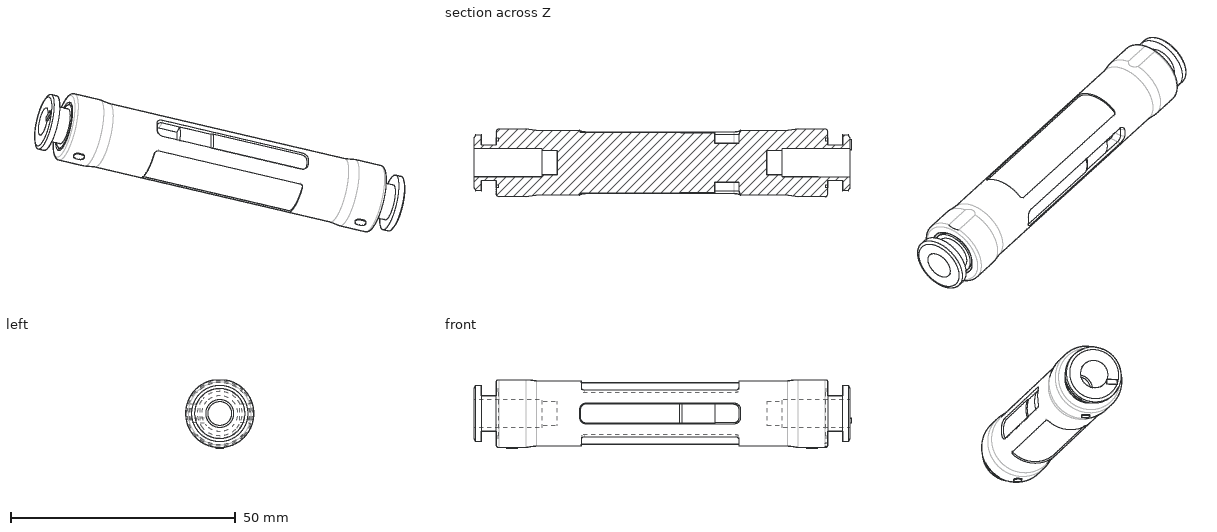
import cadquery as cq

flange_span = 83.8
end_mark_height = 0.3

flange_diameter = 12.5
flange_face_diameter = 11.2
flange_width = 1.7
flange_bevel = 0.3
neck_diameter = 8.0
collar_diameter = 15.2
collar_end = 36.9
collar_length = 6.65
collar_taper_length = 2.35
collar_end_radius = 0.6
end_groove_outer_diameter = 11.0
end_groove_inner_diameter = 9.9
end_groove_depth = 0.5
body_diameter = 14.6

port_diameter = 6.2
port_depth = 15.15
stop_bore_diameter = 5.3
stop_bore_depth = 3.4

collar_flat_height = 7.5
button_height = 7.8
button_offset = 33.4
button_length = 2.5
button_width = 1.8

middle_offset = -0.4
panel_length = 35.1
panel_width = 10.2
panel_diameter = 13.8
panel_corner_radius = 0.7
window_length = 35.9
window_height = 5.0
window_corner_radius = 1.5
window_slope = 0.4
rim_floor = 6.3
core_diameter = 13.6
core_step = 0.2
core_step_start = 3.95
core_step_end = 4.5
pocket_start = 11.8
pocket_floor = 4.4

end_mark_width = 2.35
end_mark_thickness = 1.1
end_mark_y = 4.0
end_mark_z = -1.6

flange_face = flange_span / 2
body_radius = body_diameter / 2
collar_radius = collar_diameter / 2
core_radius = core_diameter / 2


def rod(diameter, start, end):
    """Cylinder along the X axis between two X positions."""
    return cq.Workplane("YZ", origin=(start, 0, 0)).circle(diameter / 2).extrude(end - start)


def make_body():
    """Turned body with both collars, necks and flanges."""
    flange_radius = flange_diameter / 2
    neck_radius = neck_diameter / 2
    groove_outer_radius = end_groove_outer_diameter / 2
    groove_inner_radius = end_groove_inner_diameter / 2
    groove_floor = collar_end - end_groove_depth
    taper_start = collar_end - collar_length
    body_end = taper_start - collar_taper_length
    sleeve = (
        cq.Workplane("XY")
        .moveTo(body_end, 0)
        .lineTo(body_end, body_radius)
        .lineTo(taper_start, collar_radius)
        .lineTo(collar_end - collar_end_radius, collar_radius)
        .radiusArc((collar_end, collar_radius - collar_end_radius), collar_end_radius)
        .lineTo(collar_end, groove_outer_radius)
        .lineTo(groove_floor, groove_outer_radius)
        .lineTo(groove_floor, groove_inner_radius)
        .lineTo(collar_end, groove_inner_radius)
        .lineTo(collar_end, neck_radius)
        .lineTo(flange_face - flange_width, neck_radius)
        .lineTo(flange_face - flange_width, flange_radius)
        .lineTo(flange_face - flange_bevel, flange_radius)
        .lineTo(flange_face, flange_face_diameter / 2)
        .lineTo(flange_face, 0)
        .close()
        .revolve(360, (0, 0, 0), (1, 0, 0))
    )
    middle = rod(body_diameter, -body_end, body_end)
    return middle.union(sleeve).union(sleeve.mirror("YZ"))


def make_port():
    """Stepped blind hole for the +X end."""
    port_bottom = flange_face - port_depth
    port = rod(port_diameter, port_bottom, flange_face)
    return port.union(rod(stop_bore_diameter, port_bottom - stop_bore_depth, port_bottom))


def make_collar_flat():
    """Cutter that planes the top of the +X collar and its taper."""
    flat_length = collar_length + collar_taper_length
    return (
        cq.Workplane("XY", origin=(collar_end, 0, collar_flat_height))
        .rect(2 * flat_length, collar_diameter)
        .extrude(collar_radius)
    )


def make_button():
    """Small oblong button below the +X collar."""
    return (
        cq.Workplane("XY", origin=(button_offset, 0, -button_height))
        .slot2D(button_length, button_width)
        .extrude(button_height - neck_diameter / 2)
    )


def make_panel():
    """Cutter for the shallow label panel on the +Z side, curved around the axis."""
    panel = (
        cq.Workplane("XY", origin=(middle_offset, 0, 0))
        .rect(panel_length, panel_width)
        .extrude(collar_diameter)
        .edges("|Z")
        .fillet(panel_corner_radius)
    )
    return panel.cut(rod(panel_diameter, -collar_end, collar_end))


def window_outline(inset):
    """Rounded window outline, shrunk on every side by the inset."""
    return (
        cq.Sketch()
        .rect(window_length - 2 * inset, window_height - 2 * inset)
        .vertices()
        .fillet(window_corner_radius - inset)
    )


def make_core():
    """Core visible inside the windows: two lengths joined by a short taper."""
    small_radius = core_radius - core_step
    return (
        cq.Workplane("XY")
        .moveTo(-collar_end, 0)
        .lineTo(-collar_end, core_radius)
        .lineTo(core_step_start, core_radius)
        .lineTo(core_step_end, small_radius)
        .lineTo(pocket_start, small_radius)
        .lineTo(pocket_start, 0)
        .close()
        .revolve(360, (0, 0, 0), (1, 0, 0))
    )


def make_window():
    """Cutter for the window on the -Y side: sloped rim, straight walls and deep pocket."""
    rim = (
        cq.Workplane("XZ", origin=(middle_offset, -rim_floor, 0))
        .placeSketch(
            window_outline(window_slope),
            window_outline(0).moved(cq.Location(cq.Vector(0, 0, body_radius - rim_floor))),
        )
        .loft()
    )
    well = (
        cq.Workplane("XZ", origin=(middle_offset, -pocket_floor, 0))
        .placeSketch(window_outline(window_slope))
        .extrude(rim_floor - pocket_floor)
    )
    return rim.union(well).cut(make_core())


def make_end_mark():
    """Small raised bar on the +X flange face."""
    return (
        cq.Workplane("YZ", origin=(flange_face, end_mark_y, end_mark_z))
        .rect(end_mark_width, end_mark_thickness)
        .extrude(end_mark_height)
    )


result = make_body()

for feature in (make_port(), make_collar_flat()):
    result = result.cut(feature).cut(feature.mirror("YZ"))

button = make_button()
result = result.union(button).union(button.mirror("YZ"))

panel_cutter = make_panel()
result = result.cut(panel_cutter).cut(panel_cutter.mirror("XY"))

window_cutter = make_window()
result = result.cut(window_cutter).cut(window_cutter.mirror("XZ"))

result = result.union(make_end_mark())